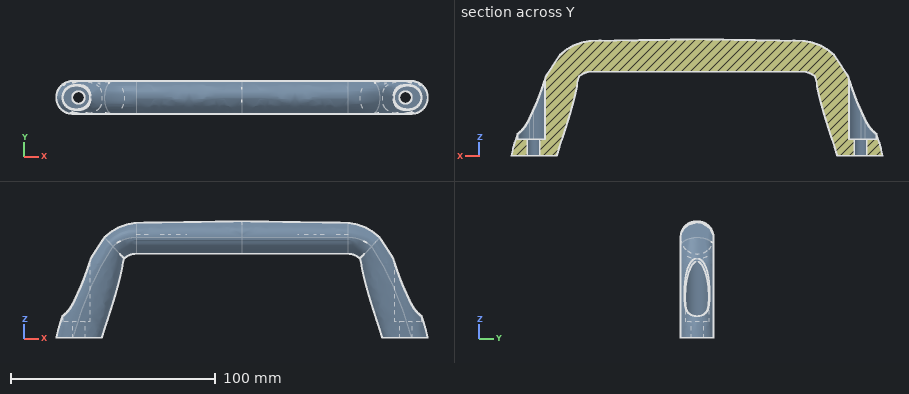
import cadquery as cq
import math

length = 181.5
width = 16.2
half_width = width / 2
split_height = 49.2
bar_drop = 8.2
bar_rise_end = 7.0
bar_rise_middle = 7.8

bar_half_length = 51.8
bend_radius = 16.7
bend_angle = 43.0
bend_end_rise = 6.0
bend_steps = 4

foot_length = 22.3
foot_outer_depth = half_width
leg_middle_sections = [
    (71.0, 31.2, 30.0, 6.4, 12.0, 2.4),
    (77.7, 15.6, 14.0, 7.6, 13.6, 2.7),
]
foot_squareness = 3.0
round_squareness = 2.0
points_per_half = 16

screw_x = 79.9
screw_diameter = 6.0
recess_radius = 5.6
recess_stretch = 2.0
seat_height = 8.2
rim_chamfer = 0.7


def half_outline(depth, squareness):
    """Points of half a superellipse from +half_width to -half_width, bulging to +x."""
    points = []
    for step in range(points_per_half + 1):
        angle = math.pi * (0.5 - step / points_per_half)
        c = max(math.cos(angle), 0.0)
        s = math.sin(angle)
        x = depth * c ** (2 / squareness)
        y = half_width * math.copysign(abs(s) ** (2 / squareness), s)
        points.append((x, y))
    return points


def section(origin, inward, normal, outer_depth, inner_depth, squareness):
    """Closed section: rounded outer half and a squarer inner half."""
    plane = cq.Plane(origin=origin, xDir=inward, normal=normal)
    inner = half_outline(inner_depth, squareness)
    outer = [(-x, -y) for x, y in half_outline(outer_depth, round_squareness)]
    profile = (
        cq.Workplane(plane)
        .moveTo(*inner[0])
        .spline(inner[1:], tangents=[(1, 0), (-1, 0)], includeCurrent=True)
        .spline(outer[1:], tangents=[(-1, 0), (1, 0)], includeCurrent=True)
        .wire()
    )
    return profile.val()


def bar_section(x, rise):
    return section((x, 0, split_height), (0, 0, -1), (1, 0, 0), rise, bar_drop, round_squareness)


def tilted_section(x, z, tilt, outer_depth, inner_depth, squareness):
    """Section of the left leg whose inward direction points down by the tilt angle."""
    angle = math.radians(tilt)
    inward = (math.cos(angle), 0, -math.sin(angle))
    normal = (math.sin(angle), 0, math.cos(angle))
    return section((-x, 0, z), inward, normal, outer_depth, inner_depth, squareness)


def make_bar():
    """Bar whose crown rises in a straight slope to mid-span."""
    sections = [
        bar_section(-bar_half_length, bar_rise_end),
        bar_section(0, bar_rise_middle),
        bar_section(bar_half_length, bar_rise_end),
    ]
    return cq.Solid.makeLoft(sections, True)


def bend_section(fraction):
    """Section part-way round the left bend, from the bar (0) to the leg (1)."""
    turn = fraction * bend_angle
    angle = math.radians(turn)
    x = bar_half_length + bend_radius * math.sin(angle)
    z = split_height - bend_radius * (1 - math.cos(angle))
    rise = bar_rise_end + fraction * (bend_end_rise - bar_rise_end)
    return tilted_section(x, z, 90 - turn, rise, bar_drop, round_squareness)


def make_bend():
    return cq.Solid.makeLoft([bend_section(step / bend_steps) for step in range(bend_steps + 1)])


def make_leg():
    middle = [tilted_section(*values) for values in leg_middle_sections]
    foot = tilted_section(
        length / 2 - foot_outer_depth, 0, 0,
        foot_outer_depth, foot_length - foot_outer_depth, foot_squareness)
    return cq.Solid.makeLoft([bend_section(1), *middle, foot])


def cut_recess(leg):
    """Upright elongated recess with a chamfered rim, and the screw hole through its seat."""
    recess = (
        cq.Workplane("XY", origin=(-screw_x - recess_stretch / 2, 0, seat_height))
        .slot2D(2 * recess_radius + recess_stretch, 2 * recess_radius)
        .extrude(length)
    )
    hole = (
        cq.Workplane("XY", origin=(-screw_x, 0, 0))
        .circle(screw_diameter / 2)
        .extrude(length)
    )
    recessed = cq.Workplane(leg).cut(recess)
    margin = 0.2
    rim = recessed.edges(cq.selectors.BoxSelector(
        (-length, -recess_radius - margin, seat_height + margin),
        (-screw_x + recess_radius + margin, recess_radius + margin, split_height),
        boundingbox=True,
    )).edges("not |Z")
    recessed = rim.chamfer(rim_chamfer)
    return recessed.cut(hole)


left_side = cq.Workplane(make_bend()).union(cut_recess(make_leg()))
right_side = left_side.mirror("YZ")
result = cq.Workplane(make_bar()).union(left_side).union(right_side)